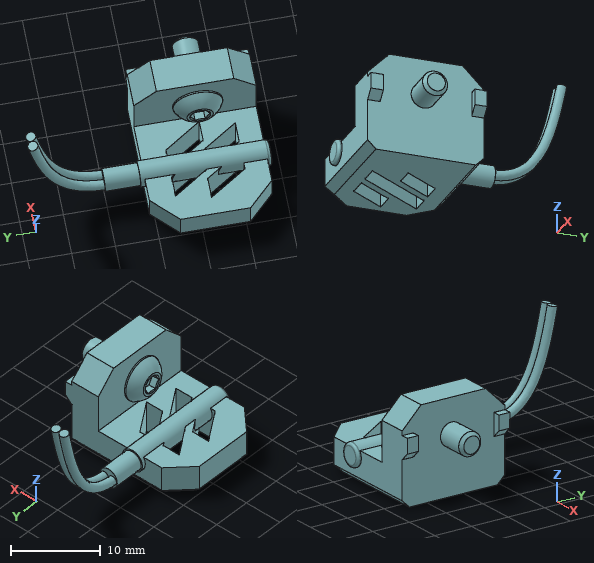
import cadquery as cq
import math

BRACKET_LENGTH = 16.5
BRACKET_WIDTH = 14.0
BRACKET_HEIGHT = 12.0
PLATE_THICKNESS = 4.35
WALL_THICKNESS = 4.0
PLATE_CORNER_CHAMFER = 3.0
WALL_CORNER_CHAMFER = 2.58
BOTTOM_CHAMFER = 1.0
WALL_FACE_X = BRACKET_LENGTH - WALL_THICKNESS

TAB_REACH = 1.0
TAB_WIDTH = 1.5
TAB_TOP_Z = 8.87
TAB_NOSE_Z = 6.95

SLOT_FRONT_Y = 2.72
SLOT_BACK_Y = 11.0
SLOT_WIDTH = 2.4
SLOT_SLOPE = 0.66
SHORT_SLOT_LENGTH = 4.34
LONG_SLOT_FRONT_X = 8.5
SLOT_PITCH = 3.5

SCREW_Y = 6.73
SCREW_Z = 7.5
SCREW_DIAMETER = 3.0
SCREW_TIP_X = 20.5
SCREW_TIP_CHAMFER = 0.42
HEAD_DIAMETER = 5.7
HEAD_FLAT_DIAMETER = 3.0
HEAD_HEIGHT = 1.6
HEAD_RIM_HEIGHT = 0.2
HEAD_BULGE = 0.17
SOCKET_ACROSS_FLATS = 2.0
SOCKET_DEPTH = 1.0
SOCKET_MOUTH_DIAMETER = 2.4
SOCKET_MOUTH_DEPTH = 0.1
HEAD_FACE_X = WALL_FACE_X - HEAD_HEIGHT

PROBE_X = 6.95
PROBE_Z = 3.5
PROBE_DIAMETER = 3.0
PROBE_OVERHANG = 0.5
PROBE_NOSE_FILLET = 0.35
SLEEVE_DIAMETER = 2.65
SLEEVE_LENGTH = 4.03
WIRE_DIAMETER = 1.2
WIRE_PITCH = 1.22
WIRE_RISE = 12.23
WIRE_RUN = 8.17
WIRE_END_TILT = 11.0
WIRE_START_PULL = 5.42
WIRE_END_PULL = 6.53
WIRE_EMBED = 0.28
ROD_FRONT_Y = -PROBE_OVERHANG
ROD_BACK_Y = BRACKET_WIDTH + PROBE_OVERHANG
SLEEVE_END_Y = ROD_BACK_Y + SLEEVE_LENGTH


def cylinder_along_x(x_start, x_end, diameter):
    direction = cq.Vector(1, 0, 0)
    start = cq.Vector(x_start, SCREW_Y, SCREW_Z)
    return cq.Workplane(cq.Solid.makeCylinder(diameter / 2, x_end - x_start, start, direction))


def cylinder_along_y(y_start, y_end, diameter):
    direction = cq.Vector(0, 1, 0)
    start = cq.Vector(PROBE_X, y_start, PROBE_Z)
    return cq.Workplane(cq.Solid.makeCylinder(diameter / 2, y_end - y_start, start, direction))


def make_plate():
    plate = cq.Workplane().box(BRACKET_LENGTH, BRACKET_WIDTH, PLATE_THICKNESS, centered=False)
    plate = plate.edges("|Z and <X").chamfer(PLATE_CORNER_CHAMFER)
    return plate.faces("<Z").edges("not(>X)").chamfer(BOTTOM_CHAMFER)


def make_wall():
    wall_height = BRACKET_HEIGHT - PLATE_THICKNESS
    wall = cq.Workplane().box(WALL_THICKNESS, BRACKET_WIDTH, wall_height, centered=False)
    wall = wall.edges("|X and >Z").chamfer(WALL_CORNER_CHAMFER)
    return wall.translate((WALL_FACE_X, 0, PLATE_THICKNESS))


def make_tab(y_start):
    tab = (
        cq.Workplane("XZ")
        .moveTo(BRACKET_LENGTH, TAB_TOP_Z)
        .lineTo(BRACKET_LENGTH + TAB_REACH, TAB_TOP_Z)
        .lineTo(BRACKET_LENGTH + TAB_REACH, TAB_NOSE_Z)
        .lineTo(BRACKET_LENGTH, TAB_NOSE_Z - TAB_REACH)
        .close()
        .extrude(-TAB_WIDTH)
    )
    return tab.translate((0, y_start, 0))


def make_slot(x_shift, y_start, y_end):
    """Parallelogram slot; the shift moves it along X from the long middle slot."""

    def left_x(y):
        return LONG_SLOT_FRONT_X + x_shift - SLOT_SLOPE * (y - SLOT_FRONT_Y)

    corners = [
        (left_x(y_start), y_start),
        (left_x(y_start) + SLOT_WIDTH, y_start),
        (left_x(y_end) + SLOT_WIDTH, y_end),
        (left_x(y_end), y_end),
    ]
    return cq.Workplane().polyline(corners).close().extrude(PLATE_THICKNESS)


def make_bracket():
    bracket = make_plate().union(make_wall())
    for tab_y in (0, BRACKET_WIDTH - TAB_WIDTH):
        bracket = bracket.union(make_tab(tab_y))
    slots = [
        make_slot(-SLOT_PITCH, SLOT_FRONT_Y, SLOT_FRONT_Y + SHORT_SLOT_LENGTH),
        make_slot(0, SLOT_FRONT_Y, SLOT_BACK_Y),
        make_slot(SLOT_PITCH, SLOT_BACK_Y - SHORT_SLOT_LENGTH, SLOT_BACK_Y),
    ]
    for slot in slots:
        bracket = bracket.cut(slot)
    screw_hole = cylinder_along_x(WALL_FACE_X, BRACKET_LENGTH, SCREW_DIAMETER)
    probe_groove = cylinder_along_y(0, BRACKET_WIDTH, PROBE_DIAMETER)
    return bracket.cut(screw_hole).cut(probe_groove)


def make_screw_head():
    """Domed head, revolved about the screw axis."""
    flat_radius = HEAD_FLAT_DIAMETER / 2
    rim_radius = HEAD_DIAMETER / 2
    dome_height = HEAD_HEIGHT - HEAD_RIM_HEIGHT
    dome_width = rim_radius - flat_radius
    slant = math.hypot(dome_height, dome_width)
    dome_middle = (
        dome_height / 2 - HEAD_BULGE * dome_width / slant,
        (flat_radius + rim_radius) / 2 + HEAD_BULGE * dome_height / slant,
    )
    head = (
        cq.Workplane("XY")
        .lineTo(0, flat_radius)
        .threePointArc(dome_middle, (dome_height, rim_radius))
        .lineTo(HEAD_HEIGHT, rim_radius)
        .lineTo(HEAD_HEIGHT, 0)
        .close()
        .revolve(360, (0, 0, 0), (1, 0, 0))
    )
    return head.translate((HEAD_FACE_X, SCREW_Y, SCREW_Z))


def make_socket():
    """Hexagonal socket with a shallow conical mouth."""
    across_corners = SOCKET_ACROSS_FLATS / math.cos(math.radians(30))
    face = cq.Workplane("YZ", origin=(HEAD_FACE_X, SCREW_Y, SCREW_Z))
    hexagon = face.polygon(6, across_corners).extrude(SOCKET_DEPTH)
    mouth = cq.Solid.makeCone(
        SOCKET_MOUTH_DIAMETER / 2,
        SOCKET_ACROSS_FLATS / 2,
        SOCKET_MOUTH_DEPTH,
        cq.Vector(HEAD_FACE_X, SCREW_Y, SCREW_Z),
        cq.Vector(1, 0, 0),
    )
    return hexagon.union(cq.Workplane(mouth))


def make_screw():
    shank = cylinder_along_x(WALL_FACE_X, SCREW_TIP_X, SCREW_DIAMETER)
    shank = shank.faces(">X").chamfer(SCREW_TIP_CHAMFER)
    return make_screw_head().union(shank).cut(make_socket())


def make_wire(x):
    """Wire that leaves the sleeve along +Y and bends upward."""
    tilt = math.radians(WIRE_END_TILT)
    end_y = SLEEVE_END_Y + WIRE_RUN
    end_z = PROBE_Z + WIRE_RISE
    path = (
        cq.Workplane("YZ", origin=(x, 0, 0))
        .moveTo(SLEEVE_END_Y - WIRE_EMBED, PROBE_Z)
        .bezier(
            [
                (SLEEVE_END_Y - WIRE_EMBED, PROBE_Z),
                (SLEEVE_END_Y + WIRE_START_PULL, PROBE_Z),
                (end_y - WIRE_END_PULL * math.sin(tilt), end_z - WIRE_END_PULL * math.cos(tilt)),
                (end_y, end_z),
            ]
        )
    )
    profile = cq.Workplane("XZ", origin=(x, SLEEVE_END_Y - WIRE_EMBED, PROBE_Z))
    return profile.circle(WIRE_DIAMETER / 2).sweep(path)


def make_probe():
    rod = cylinder_along_y(ROD_FRONT_Y, ROD_BACK_Y, PROBE_DIAMETER)
    rod = rod.faces("<Y").edges().fillet(PROBE_NOSE_FILLET)
    probe = rod.union(cylinder_along_y(ROD_BACK_Y, SLEEVE_END_Y, SLEEVE_DIAMETER))
    for side in (-1, 1):
        probe = probe.union(make_wire(PROBE_X + side * WIRE_PITCH / 2))
    return probe


bracket = make_bracket()
screw = make_screw()
probe = make_probe()

result = cq.Compound.makeCompound([bracket.solids().val(), screw.solids().val(), probe.solids().val()])